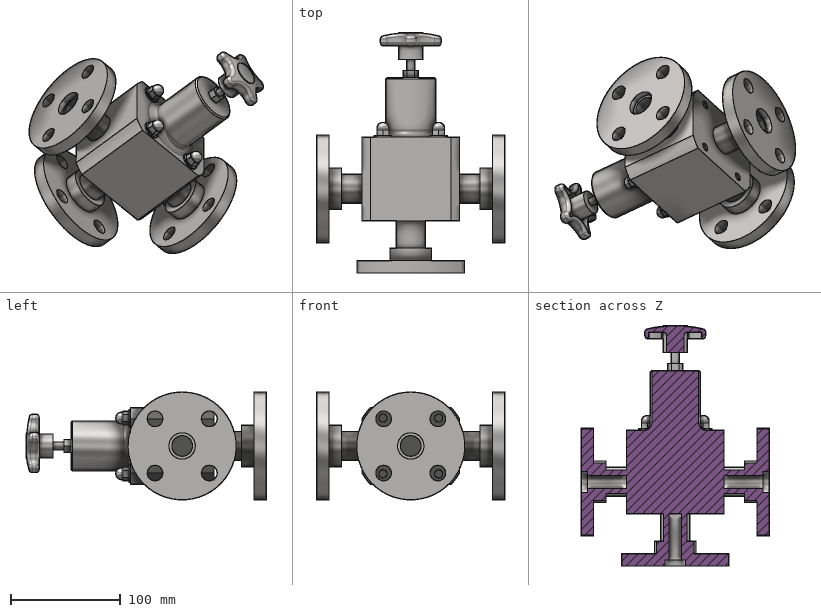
import cadquery as cq
import math


BLOCK_X = 88.9
BLOCK_Z = 69.85
BLOCK_FRONT_Y = -29.13
BLOCK_LENGTH = 76.2
BLOCK_CORNER_DIAMETER = 101.6
BLOCK_BACK_Y = BLOCK_FRONT_Y + BLOCK_LENGTH

FLANGE_DIAMETER = 98.425
FLANGE_THICKNESS = 11.43
FLANGE_HUB_DIAMETER = 38.1
FLANGE_HUB_LENGTH = 11.43
PIPE_DIAMETER = 26.67
PIPE_BORE_DIAMETER = 18.85
SIDE_PIPE_LENGTH = 18.415
FRONT_PIPE_LENGTH = 24.84
SOCKET_DIAMETER = 24.0
SOCKET_DEPTH = 5.56
FLANGE_BOLT_HOLE_DIAMETER = 14.22
FLANGE_BOLT_CIRCLE = 69.85
FLANGE_BOLT_COUNT = 4

BODY_BOLT_SPACING = 50.8
BODY_BOLT_HOLE_DIAMETER = 7.44
BODY_BOLT_HOLE_DEPTH = 1.6
WASHER_DIAMETER = 15.88
WASHER_THICKNESS = 1.3
NUT_ACROSS_FLATS = 11.0
NUT_HEX_HEIGHT = 5.4
NUT_COLLAR_HEIGHT = 1.3
NUT_DOME_RADIUS = NUT_ACROSS_FLATS / 2

BONNET_DIAMETER = 45.72
BONNET_LENGTH = 54.18
BONNET_BASE_FILLET = 6.35
BONNET_TOP_CHAMFER = 1.3
BONNET_TOP_Y = BLOCK_BACK_Y + BONNET_LENGTH

STEM_DIAMETER = 7.44
STEM_NUT_ACROSS_FLATS = 12.0
STEM_NUT_HEIGHT = 6.6
STEM_EXPOSED_LENGTH = 9.8
WHEEL_HUB_DIAMETER = 22.1
WHEEL_HUB_LENGTH = 12.5
WHEEL_HEIGHT = 12.09
WHEEL_ARM_COUNT = 5
WHEEL_TIP_CENTER_RADIUS = 24.0
WHEEL_TIP_RADIUS = 5.0
WHEEL_SCALLOP_RADIUS = 12.95
WHEEL_FIRST_ARM_ANGLE = -math.pi / 2
WHEEL_DOME_RADIUS = 120.0
WHEEL_EDGE_FILLET = 2.9
WHEEL_POCKET_WALL = 3.7
WHEEL_POCKET_DEPTH = 6.0
WHEEL_HUB_FILLET = 2.4

STEM_NUT_TOP_Y = BONNET_TOP_Y + STEM_NUT_HEIGHT
WHEEL_HUB_Y = STEM_NUT_TOP_Y + STEM_EXPOSED_LENGTH
WHEEL_BOTTOM_Y = WHEEL_HUB_Y + WHEEL_HUB_LENGTH


def plane_facing_back(y):
    """Sketch plane at height y on the valve axis, normal +Y, local x = X and local y = -Z."""
    return cq.Workplane(cq.Plane(origin=(0, y, 0), xDir=(1, 0, 0), normal=(0, 1, 0)))


def hexagon_diameter(across_flats):
    return across_flats / math.cos(math.pi / 6)


def make_block():
    block = plane_facing_back(BLOCK_FRONT_Y).rect(BLOCK_X, BLOCK_Z).extrude(BLOCK_LENGTH)
    trim = plane_facing_back(BLOCK_FRONT_Y).circle(BLOCK_CORNER_DIAMETER / 2).extrude(BLOCK_LENGTH)
    bolt_ends = (
        plane_facing_back(BLOCK_FRONT_Y)
        .rect(BODY_BOLT_SPACING, BODY_BOLT_SPACING, forConstruction=True)
        .vertices()
        .circle(BODY_BOLT_HOLE_DIAMETER / 2)
        .extrude(BODY_BOLT_HOLE_DEPTH)
    )
    return block.intersect(trim).cut(bolt_ends)


def make_port(direction, block_distance, pipe_length):
    """Flanged pipe stub running outward along direction from the block face."""
    outer_distance = block_distance + pipe_length + FLANGE_HUB_LENGTH + FLANGE_THICKNESS
    axis = cq.Vector(*direction)
    face = cq.Workplane(cq.Plane(origin=axis * outer_distance, xDir=(0, 0, 1), normal=axis))
    neck_length = FLANGE_THICKNESS + FLANGE_HUB_LENGTH
    bore_depth = neck_length + pipe_length
    bolt_start_angle = 180 / FLANGE_BOLT_COUNT

    port = face.circle(FLANGE_DIAMETER / 2).extrude(-FLANGE_THICKNESS)
    bolt_holes = (
        face.polarArray(FLANGE_BOLT_CIRCLE / 2, bolt_start_angle, 360, FLANGE_BOLT_COUNT)
        .circle(FLANGE_BOLT_HOLE_DIAMETER / 2)
        .extrude(-FLANGE_THICKNESS)
    )
    port = port.cut(bolt_holes)
    port = port.union(face.circle(FLANGE_HUB_DIAMETER / 2).extrude(-neck_length))
    port = port.union(face.circle(PIPE_DIAMETER / 2).extrude(-bore_depth))
    port = port.cut(face.circle(PIPE_BORE_DIAMETER / 2).extrude(-bore_depth))
    return port.cut(face.circle(SOCKET_DIAMETER / 2).extrude(-SOCKET_DEPTH))


def make_bonnet():
    """Cylinder with a chamfered top and a concave flare onto the block."""
    radius = BONNET_DIAMETER / 2
    flare_radius = radius + BONNET_BASE_FILLET
    arc_inset = BONNET_BASE_FILLET * (1 - math.cos(math.pi / 4))
    return (
        cq.Workplane("XY")
        .moveTo(0, BLOCK_BACK_Y)
        .lineTo(flare_radius, BLOCK_BACK_Y)
        .threePointArc(
            (radius + arc_inset, BLOCK_BACK_Y + arc_inset),
            (radius, BLOCK_BACK_Y + BONNET_BASE_FILLET),
        )
        .lineTo(radius, BONNET_TOP_Y - BONNET_TOP_CHAMFER)
        .lineTo(radius - BONNET_TOP_CHAMFER, BONNET_TOP_Y)
        .lineTo(0, BONNET_TOP_Y)
        .close()
        .revolve(360, (0, 0, 0), (0, 1, 0))
    )


def make_acorn_nut():
    """Washer, hexagon, collar and dome, standing on the block's back face at x = z = 0."""
    hex_y = BLOCK_BACK_Y + WASHER_THICKNESS
    collar_y = hex_y + NUT_HEX_HEIGHT
    dome_y = collar_y + NUT_COLLAR_HEIGHT
    washer = plane_facing_back(BLOCK_BACK_Y).circle(WASHER_DIAMETER / 2).extrude(WASHER_THICKNESS)
    hexagon = (
        plane_facing_back(hex_y)
        .transformed(rotate=(0, 0, 30))
        .polygon(6, hexagon_diameter(NUT_ACROSS_FLATS))
        .extrude(NUT_HEX_HEIGHT)
    )
    collar = plane_facing_back(collar_y).circle(NUT_DOME_RADIUS).extrude(NUT_COLLAR_HEIGHT)
    dome = (
        cq.Workplane("XY")
        .moveTo(0, dome_y)
        .lineTo(NUT_DOME_RADIUS, dome_y)
        .radiusArc((0, dome_y + NUT_DOME_RADIUS), -NUT_DOME_RADIUS)
        .close()
        .revolve(360, (0, 0, 0), (0, 1, 0))
    )
    return washer.union(hexagon).union(collar).union(dome)


def make_stem():
    nut = (
        plane_facing_back(BONNET_TOP_Y)
        .polygon(6, hexagon_diameter(STEM_NUT_ACROSS_FLATS))
        .extrude(STEM_NUT_HEIGHT)
    )
    stem = plane_facing_back(STEM_NUT_TOP_Y).circle(STEM_DIAMETER / 2).extrude(STEM_EXPOSED_LENGTH)
    return nut.union(stem)


def polar(radius, angle):
    return cq.Vector(radius * math.cos(angle), radius * math.sin(angle))


def xy(vector):
    return (vector.x, vector.y)


def make_star(y, height, inset):
    """Star prism: round arm tips joined by tangent scallops, all moved inward by inset."""
    pitch = 2 * math.pi / WHEEL_ARM_COUNT
    half_pitch = pitch / 2
    tip_radius = WHEEL_TIP_RADIUS - inset
    scallop_radius = WHEEL_SCALLOP_RADIUS + inset

    tip_along = WHEEL_TIP_CENTER_RADIUS * math.cos(half_pitch)
    tip_aside = WHEEL_TIP_CENTER_RADIUS * math.sin(half_pitch)
    scallop_center_radius = tip_along + math.sqrt((tip_radius + scallop_radius) ** 2 - tip_aside**2)
    valley_radius = scallop_center_radius - scallop_radius
    tangent_angle = half_pitch + math.atan2(tip_aside, scallop_center_radius - tip_along)

    def tip_end(arm, side):
        """Point where a tip meets its scallop, on the chosen side of the arm."""
        arm_angle = WHEEL_FIRST_ARM_ANGLE + arm * pitch
        center = polar(WHEEL_TIP_CENTER_RADIUS, arm_angle)
        return xy(center + polar(tip_radius, arm_angle + side * tangent_angle))

    outline = plane_facing_back(y).moveTo(*tip_end(0, -1))
    for arm in range(WHEEL_ARM_COUNT):
        arm_angle = WHEEL_FIRST_ARM_ANGLE + arm * pitch
        tip = polar(WHEEL_TIP_CENTER_RADIUS + tip_radius, arm_angle)
        valley = polar(valley_radius, arm_angle + half_pitch)
        outline = outline.threePointArc(xy(tip), tip_end(arm, 1))
        outline = outline.threePointArc(xy(valley), tip_end(arm + 1, -1))
    return outline.close().extrude(height)


def make_handwheel():
    """Domed, rounded star with a hollow underside and a central hub."""
    top_y = WHEEL_BOTTOM_Y + WHEEL_HEIGHT
    rim_radius = WHEEL_TIP_CENTER_RADIUS + 2 * WHEEL_TIP_RADIUS
    rim_drop = WHEEL_DOME_RADIUS - math.sqrt(WHEEL_DOME_RADIUS**2 - rim_radius**2)
    dome = (
        cq.Workplane("XY")
        .moveTo(0, WHEEL_BOTTOM_Y)
        .lineTo(rim_radius, WHEEL_BOTTOM_Y)
        .lineTo(rim_radius, top_y - rim_drop)
        .radiusArc((0, top_y), -WHEEL_DOME_RADIUS)
        .close()
        .revolve(360, (0, 0, 0), (0, 1, 0))
    )
    star = make_star(WHEEL_BOTTOM_Y, WHEEL_HEIGHT, 0).intersect(dome)
    star = star.faces("<Y").edges().fillet(WHEEL_EDGE_FILLET)
    star = star.faces(">Y").edges().fillet(WHEEL_EDGE_FILLET)

    pocket = make_star(WHEEL_BOTTOM_Y, WHEEL_POCKET_DEPTH, WHEEL_POCKET_WALL)
    hub_length = WHEEL_HUB_LENGTH + WHEEL_HEIGHT
    hub_radius = WHEEL_HUB_DIAMETER / 2
    hub = plane_facing_back(WHEEL_HUB_Y).circle(hub_radius).extrude(hub_length)
    pocket_floor_y = WHEEL_BOTTOM_Y + WHEEL_POCKET_DEPTH
    hub_flare = (
        cq.Workplane("XY")
        .moveTo(0, pocket_floor_y)
        .lineTo(hub_radius + WHEEL_HUB_FILLET, pocket_floor_y)
        .radiusArc((hub_radius, pocket_floor_y - WHEEL_HUB_FILLET), -WHEEL_HUB_FILLET)
        .lineTo(0, pocket_floor_y - WHEEL_HUB_FILLET)
        .close()
        .revolve(360, (0, 0, 0), (0, 1, 0))
    )
    return star.cut(pocket).union(hub).union(hub_flare)


result = make_block()
for side in (-1, 1):
    result = result.union(make_port((side, 0, 0), BLOCK_X / 2, SIDE_PIPE_LENGTH))
result = result.union(make_port((0, -1, 0), -BLOCK_FRONT_Y, FRONT_PIPE_LENGTH))
result = result.union(make_bonnet())

acorn_nut = make_acorn_nut()
for x_side in (-1, 1):
    for z_side in (-1, 1):
        offset = (x_side * BODY_BOLT_SPACING / 2, 0, z_side * BODY_BOLT_SPACING / 2)
        result = result.union(acorn_nut.translate(offset))

result = result.union(make_stem()).union(make_handwheel())